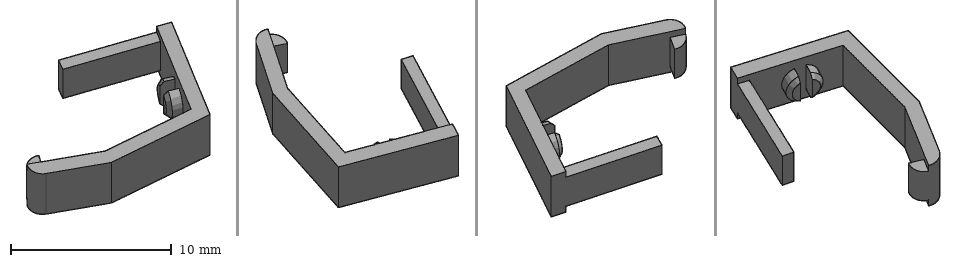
import cadquery as cq
import math


overall_width = 9.79
overall_depth = 12.09
height = 3.9

wall = 1.0
knee_depth = 7.03
upper_lean = math.radians(15)
lower_lean = math.radians(5)

narrow_height = 2.8
straight_arm_thickness = 0.8
straight_arm_length = 7.52
straight_arm_lean = math.radians(3)
hook_radius = wall

stud_x = 4.27
stud_radius = 1.25
stud_length = 1.0
stud_chamfer = 0.3
stud_slot = 0.8

knee_outer = (overall_width, -knee_depth)
back_right_outer = (overall_width - knee_depth * math.tan(upper_lean), 0)
back_right_inner = (
    back_right_outer[0] + wall * math.tan(upper_lean) - wall / math.cos(upper_lean),
    -wall,
)
mitre_length = wall / math.cos((upper_lean + lower_lean) / 2)
mitre_angle = (upper_lean - lower_lean) / 2
knee_inner = (
    knee_outer[0] - mitre_length * math.cos(mitre_angle),
    knee_outer[1] - mitre_length * math.sin(mitre_angle),
)
tip_y = hook_radius - overall_depth
tip_x = knee_inner[0] - (knee_inner[1] - tip_y) * math.tan(lower_lean)


def tip_point(angle):
    """Point on the tip circle, with the angle measured from the outward normal of the arm."""
    turned = angle - lower_lean
    return (tip_x + hook_radius * math.cos(turned), tip_y + hook_radius * math.sin(turned))


def narrow_plane():
    """Plane at the underside of the narrower features."""
    return cq.Workplane("XY").workplane(offset=(height - narrow_height) / 2)


def make_wall_and_bent_arm():
    back_left_inner = (wall * math.tan(straight_arm_lean), -wall)
    return (
        cq.Workplane("XY")
        .moveTo(0, 0)
        .lineTo(*back_right_outer)
        .lineTo(*knee_outer)
        .lineTo(*tip_point(0))
        .threePointArc(tip_point(-math.pi / 4), tip_point(-math.pi / 2))
        .lineTo(*knee_inner)
        .lineTo(*back_right_inner)
        .lineTo(*back_left_inner)
        .close()
        .extrude(height)
    )


def make_hook():
    """Quarter disc that completes the tip into a half disc on the inner side."""
    return (
        narrow_plane()
        .moveTo(tip_x, tip_y)
        .lineTo(*tip_point(-math.pi / 2))
        .threePointArc(tip_point(-3 * math.pi / 4), tip_point(-math.pi))
        .close()
        .extrude(narrow_height)
    )


def make_straight_arm():
    along = (math.sin(straight_arm_lean), -math.cos(straight_arm_lean))
    across = (math.cos(straight_arm_lean), math.sin(straight_arm_lean))
    end_outer = (straight_arm_length * along[0], straight_arm_length * along[1])
    end_inner = (
        end_outer[0] + straight_arm_thickness * across[0],
        end_outer[1] + straight_arm_thickness * across[1],
    )
    root_y = -wall / 2
    root_outer = (-root_y * math.tan(straight_arm_lean), root_y)
    root_inner = (root_outer[0] + straight_arm_thickness / math.cos(straight_arm_lean), root_y)
    return (
        narrow_plane()
        .polyline([root_outer, end_outer, end_inner, root_inner])
        .close()
        .extrude(narrow_height)
    )


def make_stud():
    stud_plane = cq.Plane(origin=(stud_x, -wall, height / 2), xDir=(1, 0, 0), normal=(0, -1, 0))
    stud = cq.Workplane(stud_plane).circle(stud_radius).extrude(stud_length)
    stud = stud.faces("<Y").chamfer(stud_chamfer)
    slot = cq.Workplane(stud_plane).rect(stud_slot, 2 * stud_radius).extrude(stud_length)
    return stud.cut(slot)


result = (
    make_wall_and_bent_arm()
    .union(make_hook())
    .union(make_straight_arm())
    .union(make_stud())
)